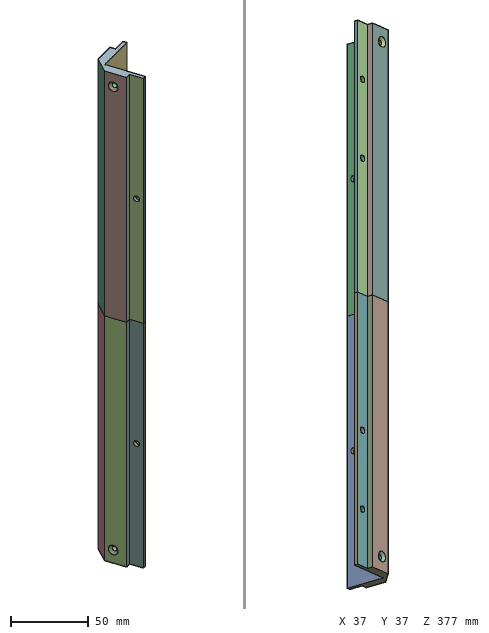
import cadquery as cq

TOTAL_LENGTH = 377.0
HALF_LENGTH = TOTAL_LENGTH / 2
LEG_WIDTH = 37.0

LIP_THICKNESS = 2.85
LIP_SETBACK = 4.0
LEG_THICKNESS = LIP_SETBACK + LIP_THICKNESS
LIP_WIDTH = 10.0
CORNER_CHAMFER = 10.5
LIP_START = LEG_WIDTH - LIP_WIDTH

SCREW_DIAMETER = 3.5
SCREW_HEAD_DIAMETER = 7.0
SCREW_HEAD_ANGLE = 90.0
SCREW_ACROSS = 17.0
SCREW_FROM_END = 10.0

LIP_HOLE_DIAMETER = 4.0
LIP_HOLE_ACROSS = LEG_WIDTH - LIP_WIDTH / 2
LIP_HOLE_MIDDLE = HALF_LENGTH / 2
LIP_HOLE_FROM_END = 39.5
LIP_HOLE_NEAR_END = HALF_LENGTH - LIP_HOLE_FROM_END


def angle_bar():
    """Chamfered L profile with its outer corner on the Z axis, rising from the joint at Z = 0."""
    outline = [
        (CORNER_CHAMFER, 0),
        (LIP_START, 0),
        (LIP_START, LIP_SETBACK),
        (LEG_WIDTH, LIP_SETBACK),
        (LEG_WIDTH, LEG_THICKNESS),
        (LEG_THICKNESS, LEG_THICKNESS),
        (LEG_THICKNESS, LEG_WIDTH),
        (LIP_SETBACK, LEG_WIDTH),
        (LIP_SETBACK, LIP_START),
        (0, LIP_START),
        (0, CORNER_CHAMFER),
    ]
    return cq.Workplane("XY").polyline(outline).close().extrude(HALF_LENGTH)


def front_leg_plane(setback):
    """Plane parallel to the -Y face, its local x along X and its local y along Z."""
    return cq.Plane(origin=(0, setback, 0), xDir=(1, 0, 0), normal=(0, -1, 0))


def side_leg_plane(setback):
    """Plane parallel to the -X face, its local x along Y and its local y along -Z."""
    return cq.Plane(origin=(setback, 0, 0), xDir=(0, 1, 0), normal=(-1, 0, 0))


def drill_screw_hole(bar, face_plane, height):
    return (
        bar.copyWorkplane(cq.Workplane(face_plane))
        .center(SCREW_ACROSS, height)
        .cskHole(SCREW_DIAMETER, SCREW_HEAD_DIAMETER, SCREW_HEAD_ANGLE, LEG_THICKNESS)
    )


def drill_lip_holes(bar, lip_plane, heights):
    return (
        bar.copyWorkplane(cq.Workplane(lip_plane))
        .pushPoints([(LIP_HOLE_ACROSS, height) for height in heights])
        .hole(LIP_HOLE_DIAMETER, LIP_THICKNESS)
    )


def guard_half():
    """Upper half of the guard, with the joint face at Z = 0 and the free end at the top."""
    screw_height = HALF_LENGTH - SCREW_FROM_END
    half = angle_bar()
    half = drill_screw_hole(half, front_leg_plane(0), screw_height)
    half = drill_screw_hole(half, side_leg_plane(0), -screw_height)
    half = drill_lip_holes(half, front_leg_plane(LIP_SETBACK), [LIP_HOLE_MIDDLE])
    return drill_lip_holes(half, side_leg_plane(LIP_SETBACK), [-LIP_HOLE_MIDDLE, -LIP_HOLE_NEAR_END])


upper_half = guard_half()
guard_halves = [upper_half, upper_half.mirror("XY")]

result = cq.Compound.makeCompound([half.val() for half in guard_halves])